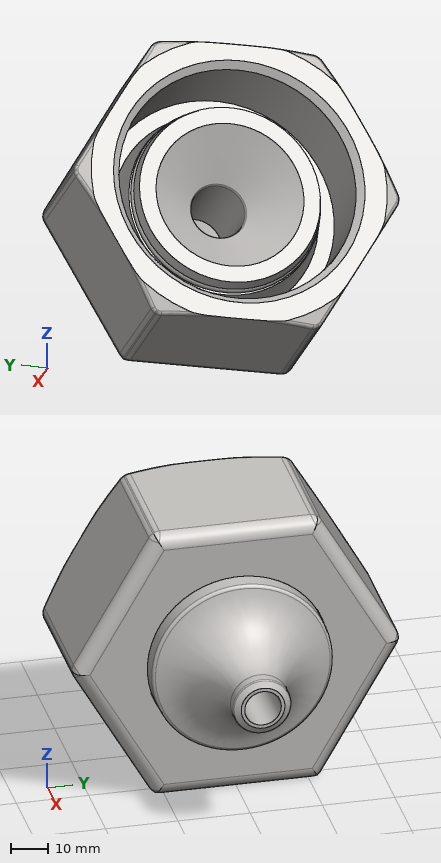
import cadquery as cq
import math


def tangent(degrees):
    return math.tan(math.radians(degrees))



ACROSS_FLATS = 79.0
NUT_LENGTH = 41.0
CORNER_DIAMETER = 90.1
CORNER_FILLET = 3.0
CHAMFER_FILLET = 1.4
REAR_FILLET = 4.0
FACE_DIAMETER = 82.1
FACE_CHAMFER_ANGLE = 30.0
NUT_BORE_DIAMETER = 65.8
MOUTH_CHAMFER = 2.0
FLOOR_X = 26.1
NUT_HOLE_DIAMETER = 50.25

NIPPLE_END_X = 70.25
CONE_HALF_ANGLE = 12.0
CONE_SMALL_DIAMETER = 50.25
CONE_LARGE_DIAMETER = 57.0
CONE_LENGTH = (CONE_LARGE_DIAMETER - CONE_SMALL_DIAMETER) / 2 / tangent(CONE_HALF_ANGLE)
NIPPLE_FRONT_X = FLOOR_X - CONE_LENGTH
SHANK_RADIUS = 49.9 / 2
SHANK_END_FILLET = 1.0
FUNNEL_DIAMETER = 41.1
THROAT_DIAMETER = 15.0
THROAT_FILLET = 1.0
THROAT_END_X = 49.5
DRILL_HALF_ANGLE = 59.0
OUTLET_DIAMETER = 10.1
TIP_DIAMETER = 16.0
TIP_RADIUS = TIP_DIAMETER / 2
TIP_START_X = 66.0
TIP_CHAMFER_DEPTH = 2.0
TIP_CHAMFER_LENGTH = 1.1
TIP_EDGE_FILLET = 0.45
NECK_RADIUS = 20.0

GROOVE_START_X = 13.7
GROOVE_WIDTH = 2.9
GROOVE_DIAMETER = 46.8


def revolve_about_x(profile):
    """Revolve a closed (X, radius) profile about the X axis."""
    return profile.close().revolve(360, (0, 0, 0), (1, 0, 0))


def find_chamfer_edges(blank, chamfer_length):
    """Edges of the conical chamfer, except those of the flat front face."""
    near_front = cq.selectors.BoxSelector(
        (0, -CORNER_DIAMETER, -CORNER_DIAMETER),
        (1.5 * chamfer_length, CORNER_DIAMETER, CORNER_DIAMETER),
    )
    on_front_face = cq.selectors.DirectionMinMaxSelector(cq.Vector(1, 0, 0), False)
    return blank.edges(near_front - on_front_face).vals()


def make_nut_blank():
    """Hexagon with turned corners, a conical front chamfer and rounded edges."""
    corner_radius = CORNER_DIAMETER / 2
    face_radius = FACE_DIAMETER / 2
    chamfer_length = (corner_radius - face_radius) * tangent(FACE_CHAMFER_ANGLE)
    across_corners = ACROSS_FLATS / math.cos(math.radians(30))
    hexagon = cq.Workplane("YZ").polygon(6, across_corners).extrude(NUT_LENGTH)
    hexagon = hexagon.faces(">X").edges().fillet(REAR_FILLET)
    envelope = revolve_about_x(
        cq.Workplane("XY")
        .lineTo(0, face_radius)
        .lineTo(chamfer_length, corner_radius)
        .lineTo(NUT_LENGTH, corner_radius)
        .lineTo(NUT_LENGTH, 0)
    )
    blank = hexagon.intersect(envelope).edges("|X").fillet(CORNER_FILLET)
    return blank.newObject(find_chamfer_edges(blank, chamfer_length)).fillet(CHAMFER_FILLET)


def make_nut():
    bore_radius = NUT_BORE_DIAMETER / 2
    hole_radius = NUT_HOLE_DIAMETER / 2
    cavity = revolve_about_x(
        cq.Workplane("XY")
        .lineTo(0, bore_radius + MOUTH_CHAMFER)
        .lineTo(MOUTH_CHAMFER, bore_radius)
        .lineTo(FLOOR_X, bore_radius)
        .lineTo(FLOOR_X, hole_radius)
        .lineTo(NUT_LENGTH, hole_radius)
        .lineTo(NUT_LENGTH, 0)
    )
    return make_nut_blank().cut(cavity)


def round_edge_at(body, x, radius, fillet):
    """Fillet the circular edge of the given radius that lies in the plane at X = x."""
    margin = 0.1
    reach = radius + margin
    selector = cq.selectors.BoxSelector(
        (x - margin, -reach, -reach), (x + margin, reach, reach)
    )
    return body.edges(selector).fillet(fillet)


def make_nipple_body():
    """Sealing cone, shank and concave neck down to the tip."""
    neck_center = TIP_RADIUS + NECK_RADIUS
    neck_length = math.sqrt(NECK_RADIUS**2 - (neck_center - SHANK_RADIUS) ** 2)
    shank_end_x = TIP_START_X - neck_length
    chamfer_x = NIPPLE_END_X - TIP_CHAMFER_LENGTH
    diagonal = NECK_RADIUS * math.sqrt(0.5)
    body = revolve_about_x(
        cq.Workplane("XY")
        .moveTo(NIPPLE_FRONT_X, 0)
        .lineTo(NIPPLE_FRONT_X, CONE_SMALL_DIAMETER / 2)
        .lineTo(FLOOR_X, CONE_LARGE_DIAMETER / 2)
        .lineTo(FLOOR_X, SHANK_RADIUS)
        .lineTo(shank_end_x, SHANK_RADIUS)
        .threePointArc((TIP_START_X - diagonal, neck_center - diagonal), (TIP_START_X, TIP_RADIUS))
        .lineTo(chamfer_x, TIP_RADIUS)
        .lineTo(NIPPLE_END_X, TIP_RADIUS - TIP_CHAMFER_DEPTH)
        .lineTo(NIPPLE_END_X, 0)
    )
    body = round_edge_at(body, shank_end_x, SHANK_RADIUS, SHANK_END_FILLET)
    return round_edge_at(body, chamfer_x, TIP_RADIUS, TIP_EDGE_FILLET)


def make_passage():
    """Space inside the nipple: 45 degree funnel, throat, drill cone and outlet."""
    funnel = FUNNEL_DIAMETER / 2
    throat = THROAT_DIAMETER / 2
    outlet = OUTLET_DIAMETER / 2
    throat_x = NIPPLE_FRONT_X + funnel - throat
    drill_cone_length = (throat - outlet) / tangent(DRILL_HALF_ANGLE)
    passage = revolve_about_x(
        cq.Workplane("XY")
        .moveTo(NIPPLE_FRONT_X, 0)
        .lineTo(NIPPLE_FRONT_X, funnel)
        .lineTo(throat_x, throat)
        .lineTo(THROAT_END_X, throat)
        .lineTo(THROAT_END_X + drill_cone_length, outlet)
        .lineTo(NIPPLE_END_X, outlet)
        .lineTo(NIPPLE_END_X, 0)
    )
    return round_edge_at(passage, throat_x, throat, THROAT_FILLET)


def make_groove():
    """Square-walled ring that is cut into the cone for the O-ring."""
    floor = GROOVE_DIAMETER / 2
    outside = CONE_LARGE_DIAMETER / 2
    end_x = GROOVE_START_X + GROOVE_WIDTH
    return revolve_about_x(
        cq.Workplane("XY")
        .moveTo(GROOVE_START_X, floor)
        .lineTo(GROOVE_START_X, outside)
        .lineTo(end_x, outside)
        .lineTo(end_x, floor)
    )


def make_nipple():
    return make_nipple_body().cut(make_passage()).cut(make_groove())


def make_o_ring():
    """Round-section ring resting on the groove floor between its walls."""
    section_radius = GROOVE_WIDTH / 2
    center_x = GROOVE_START_X + section_radius
    center_radius = GROOVE_DIAMETER / 2 + section_radius
    section = cq.Workplane("XY").moveTo(center_x, center_radius).circle(section_radius)
    return section.revolve(360, (0, 0, 0), (1, 0, 0))


nut = make_nut()
nipple = make_nipple()
o_ring = make_o_ring()

result = cq.Compound.makeCompound([nut.solids().val(), nipple.solids().val(), o_ring.val()])